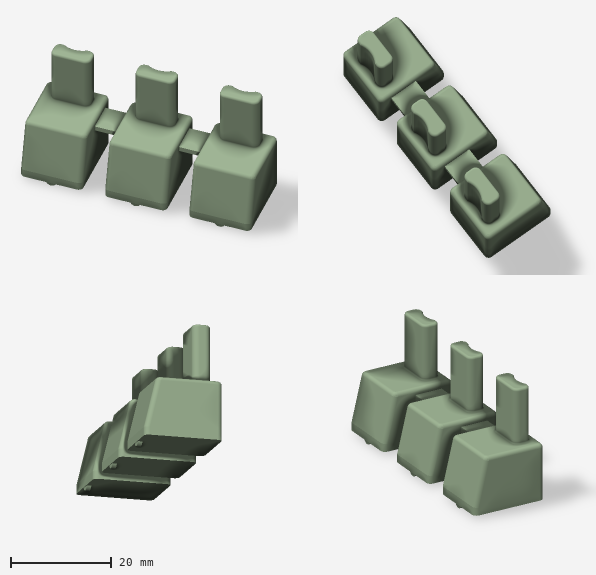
import cadquery as cq

row_length = 48.7

block_width = 13.1
block_depth = 16.05
block_height = 12.18
front_step_height = 1.75
front_setback = 2.55
side_edge_radius = 1.0
top_edge_radius = 0.85

stem_width = 8.4
stem_depth = 3.7
stem_height = 11.95
stem_back_gap = 1.65
stem_corner_radius = 1.25
stem_tip_radius = 0.5
stem_root_radius = 0.3
hollow_width = 4.8
hollow_depth = 0.7

foot_chord = 2.2
foot_drop = 0.75
foot_thickness = 0.93
foot_front_gap = 0.15

bridge_depth = 6.05
bridge_thickness = 1.0
bridge_bottom = 9.85
bridge_back_gap = 2.65

key_pitch = (row_length - block_width) / 2
front_y = -block_depth / 2
back_y = block_depth / 2
bridge_length = key_pitch - block_width


def make_block():
    """Block with a sloped front, rounded along its side edges and around its top."""
    profile = [
        (back_y, 0),
        (front_y, 0),
        (front_y, front_step_height),
        (front_y + front_setback, block_height),
        (back_y, block_height),
    ]
    block = cq.Workplane("YZ").polyline(profile).close().extrude(block_width / 2, both=True)
    block = block.edges("not #Z").fillet(side_edge_radius)
    return block.faces(">Z").edges().fillet(top_edge_radius)


def make_stem():
    """Rounded bar with a concave back, rounded at its tip."""
    stem_back_y = back_y - stem_back_gap
    stem_center_y = stem_back_y - stem_depth / 2
    stem = (
        cq.Workplane("XY", origin=(0, stem_center_y, block_height))
        .rect(stem_width, stem_depth)
        .extrude(stem_height)
        .edges("|Z")
        .fillet(stem_corner_radius)
    )
    hollow = (
        cq.Workplane("XY", origin=(0, stem_back_y, block_height))
        .moveTo(-hollow_width / 2, 0)
        .threePointArc((0, -hollow_depth), (hollow_width / 2, 0))
        .close()
        .extrude(stem_height)
    )
    return stem.cut(hollow).faces(">Z").edges().fillet(stem_tip_radius)


def make_foot():
    """Round-bottomed tab hanging below the base, just behind the front face."""
    return (
        cq.Workplane("XZ", origin=(0, front_y + foot_front_gap, 0))
        .moveTo(-foot_chord / 2, 0)
        .threePointArc((0, -foot_drop), (foot_chord / 2, 0))
        .close()
        .extrude(-foot_thickness)
    )


def make_key():
    """One complete key: block, stem with a filleted root, and foot."""
    key = make_block().union(make_stem())
    block_top = key.faces("+Z").faces("<Z").val()
    key = key.newObject(block_top.innerWires()).edges().fillet(stem_root_radius)
    return key.union(make_foot())


def make_bridge(side):
    """Flat bridge from the key at the origin to its neighbour; side is -1 or 1."""
    return cq.Workplane("XY").box(bridge_length, bridge_depth, bridge_thickness).translate(
        (
            side * key_pitch / 2,
            back_y - bridge_back_gap - bridge_depth / 2,
            bridge_bottom + bridge_thickness / 2,
        )
    )


end_keys = []
for side in (-1, 1):
    end_keys.append(make_key().translate((side * key_pitch, 0, 0)))

middle_key = make_key()
for side in (-1, 1):
    middle_key = middle_key.union(make_bridge(side))

result = cq.Compound.makeCompound([middle_key.solids().val(), *[key.solids().val() for key in end_keys]])